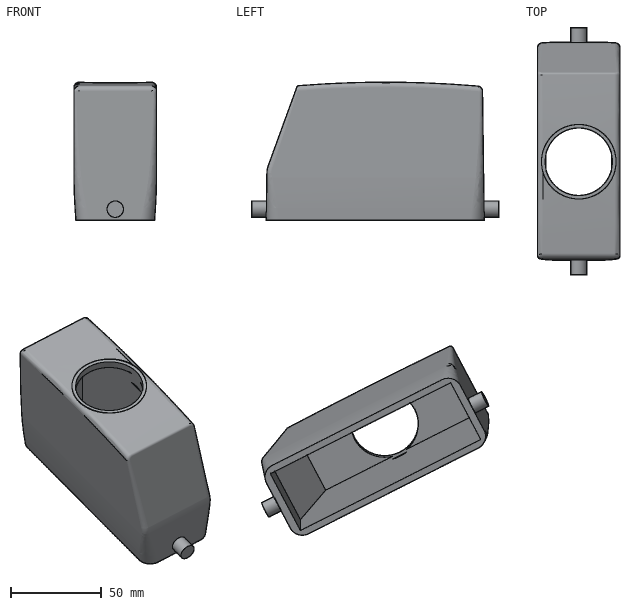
import cadquery as cq
import math

LENGTH = 120.0
WIDTH = 45.5
CROWN_HEIGHT = 76.0
CROWN_Y = -5.8
ROOF_RADIUS = 600.0
END_DRAFT = 0.75
BEVEL_ANGLE = 20.0
BEVEL_START = 28.0
BEVEL_BEND_RADIUS = 12.0

FOOT_ANGLE = 4.0
FOOT_HEIGHT = 6.5
SIDE_START = 23.3

FOOT_CORNER_RADIUS = 7.5
FOOT_TOP_CORNER_RADIUS = 6.5
FRONT_SIDE_CORNER_RADIUS = 4.25
BACK_SIDE_CORNER_RADIUS = 3.2
BEND_CORNER_RADIUS = 2.8
TOP_CORNER_RADIUS = 1.5
ROOF_EDGE_RADIUS = 3.0
BEVEL_TOP_RADIUS = 1.4

CAVITY_WIDTH = 36.0
END_WALL = 4.0
ROOF_THICKNESS = 5.0
ENTRY_DIAMETER = 37.0
ENTRY_DEPTH = 12.0
SEAT_DIAMETER = 41.0
SEAT_HEIGHT = 75.5

PIN_DIAMETER = 9.0
PIN_HEIGHT = 6.1
PIN_SPAN = 136.0

SELECTION_MARGIN = 0.5
MEETING_STEPS = 20

end_lean = math.tan(math.radians(END_DRAFT))
bevel_lean = math.tan(math.radians(BEVEL_ANGLE))
half_length = LENGTH / 2
half_width = WIDTH / 2
bevel_foot_y = half_length - BEVEL_START * end_lean


def roof_z(y):
    """Height of the roof arch at a place along Y."""
    return CROWN_HEIGHT - ROOF_RADIUS + math.sqrt(ROOF_RADIUS**2 - (y - CROWN_Y) ** 2)


def roof_meeting_y(wall_y):
    """Y where the roof arch meets a leaning wall, given as a function of height."""
    y = wall_y(CROWN_HEIGHT)
    for _ in range(MEETING_STEPS):
        y = wall_y(roof_z(y))
    return y


def side_outline():
    """Block with the lengthwise outline: leaning ends, bevelled +Y end and arched roof."""
    front_y = roof_meeting_y(lambda z: -half_length + z * end_lean)
    back_y = roof_meeting_y(lambda z: bevel_foot_y - (z - BEVEL_START) * bevel_lean)
    bend = cq.selectors.BoxSelector(
        (-half_width, bevel_foot_y - SELECTION_MARGIN, BEVEL_START - SELECTION_MARGIN),
        (half_width, bevel_foot_y + SELECTION_MARGIN, BEVEL_START + SELECTION_MARGIN))
    return (
        cq.Workplane("YZ")
        .moveTo(-half_length, 0)
        .lineTo(front_y, roof_z(front_y))
        .threePointArc((CROWN_Y, CROWN_HEIGHT), (back_y, roof_z(back_y)))
        .lineTo(bevel_foot_y, BEVEL_START)
        .lineTo(half_length, 0)
        .close()
        .extrude(half_width, both=True)
        .edges(bend)
        .fillet(BEVEL_BEND_RADIUS)
    )


def width_outline():
    """Block with the crosswise outline: straight foot, then an arc blending into upright sides."""
    angle = math.radians(FOOT_ANGLE)
    radius = (SIDE_START - FOOT_HEIGHT) / math.sin(angle)
    foot_top = half_width - radius * (1 - math.cos(angle))
    foot = foot_top - FOOT_HEIGHT * math.tan(angle)
    mid_x = half_width - radius * (1 - math.cos(angle / 2))
    mid_z = SIDE_START - radius * math.sin(angle / 2)
    return (
        cq.Workplane("XZ")
        .moveTo(-foot, 0)
        .lineTo(foot, 0)
        .lineTo(foot_top, FOOT_HEIGHT)
        .threePointArc((mid_x, mid_z), (half_width, SIDE_START))
        .lineTo(half_width, CROWN_HEIGHT)
        .lineTo(-half_width, CROWN_HEIGHT)
        .lineTo(-half_width, SIDE_START)
        .threePointArc((-mid_x, mid_z), (-foot_top, FOOT_HEIGHT))
        .close()
        .extrude(half_length, both=True)
    )


def corner_radius(y, z):
    """Radius of an upright corner at one of the heights where its edge changes direction."""
    side_radius = FRONT_SIDE_CORNER_RADIUS if y < 0 else BACK_SIDE_CORNER_RADIUS
    if z < FOOT_HEIGHT / 2:
        return FOOT_CORNER_RADIUS
    if z < (FOOT_HEIGHT + SIDE_START) / 2:
        return FOOT_TOP_CORNER_RADIUS
    if z < SIDE_START + SELECTION_MARGIN:
        return side_radius
    if z < BEVEL_START + BEVEL_BEND_RADIUS / 2:
        return BEND_CORNER_RADIUS
    return TOP_CORNER_RADIUS


def round_edges(body):
    """Round the upright corners with a tapering radius and the roof rim with constant radii."""
    fillet_maker = cq.occ_impl.shapes.BRepFilletAPI_MakeFillet(body.val().wrapped)

    foot_corners = body.edges(cq.selectors.BoxSelector(
        (-WIDTH, -LENGTH, SELECTION_MARGIN), (WIDTH, LENGTH, FOOT_HEIGHT - SELECTION_MARGIN)))
    for edge in foot_corners.vals():
        fillet_maker.Add(edge.wrapped)
    for corner in range(1, fillet_maker.NbContours() + 1):
        for index in range(1, fillet_maker.NbEdges(corner) + 1):
            for vertex in cq.Edge(fillet_maker.Edge(corner, index)).Vertices():
                fillet_maker.SetRadius(corner_radius(vertex.Y, vertex.Z), corner, vertex.wrapped)

    roof = body.faces(">Z")
    bevel_top = roof.edges(">Y").val()
    for edge in roof.edges().vals():
        is_bevel_top = edge.isSame(bevel_top)
        fillet_maker.Add(BEVEL_TOP_RADIUS if is_bevel_top else ROOF_EDGE_RADIUS, edge.wrapped)

    return cq.Workplane(cq.Shape.cast(fillet_maker.Shape()).Solids()[0])


def cavity():
    """Inside of the hood: open at the base, with its +Y end following the bevel."""
    height = CROWN_HEIGHT - ROOF_THICKNESS
    front_y = -half_length + END_WALL
    back_y = bevel_foot_y - END_WALL
    return (
        cq.Workplane("YZ")
        .moveTo(front_y, 0)
        .lineTo(front_y, height)
        .lineTo(back_y - (height - BEVEL_START) * bevel_lean, height)
        .lineTo(back_y, BEVEL_START)
        .lineTo(back_y, 0)
        .close()
        .extrude(CAVITY_WIDTH / 2, both=True)
    )


def upright_cylinder(diameter, bottom):
    """Cutter on the cable entry axis, from the given height up through the roof."""
    return (
        cq.Workplane("XY", origin=(0, CROWN_Y, bottom))
        .circle(diameter / 2)
        .extrude(CROWN_HEIGHT - bottom)
    )


def locking_pin(side):
    """Pin standing out of one end wall; side is +1 or -1 along Y."""
    root_y = half_length - END_WALL
    return (
        cq.Workplane("XZ", origin=(0, side * root_y, PIN_HEIGHT))
        .circle(PIN_DIAMETER / 2)
        .extrude(-side * (PIN_SPAN / 2 - root_y))
    )


result = round_edges(side_outline().intersect(width_outline()))
result = result.cut(cavity())
result = result.cut(upright_cylinder(ENTRY_DIAMETER, CROWN_HEIGHT - ENTRY_DEPTH))
result = result.cut(upright_cylinder(SEAT_DIAMETER, SEAT_HEIGHT))
for side in (-1, 1):
    result = result.union(locking_pin(side))